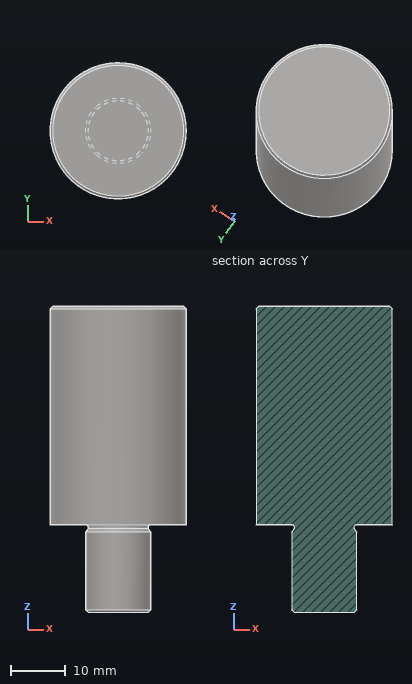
import cadquery as cq

total_height = 56.2
body_diameter = 25.0
stud_diameter = 11.95
stud_length = 16.1
edge_chamfer = 0.5

neck_diameter = 11.05
groove_width = 1.35
groove_taper_height = 0.7
shoulder_fillet = 0.4

body_radius = body_diameter / 2
stud_radius = stud_diameter / 2
neck_radius = neck_diameter / 2
groove_bottom = stud_length - groove_width
fillet_start = stud_length - shoulder_fillet

profile = (
    cq.Workplane("XZ")
    .lineTo(stud_radius - edge_chamfer, 0)
    .lineTo(stud_radius, edge_chamfer)
    .lineTo(stud_radius, groove_bottom)
    .lineTo(neck_radius, groove_bottom + groove_taper_height)
    .lineTo(neck_radius, fillet_start)
    .radiusArc((neck_radius + shoulder_fillet, stud_length), shoulder_fillet)
    .lineTo(body_radius, stud_length)
    .lineTo(body_radius, total_height - edge_chamfer)
    .lineTo(body_radius - edge_chamfer, total_height)
    .lineTo(0, total_height)
    .close()
)

result = profile.revolve(360, (0, 0, 0), (0, 1, 0))